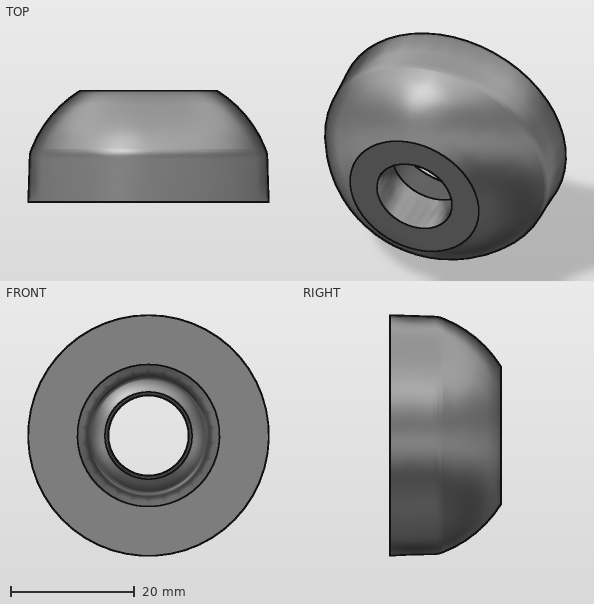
import cadquery as cq
import math

length = 18.0
face_radius = 19.5
back_radius = 11.1

skirt_length = 7.02
skirt_end_radius = 19.25
blend_end = 8.58
blend_end_radius = 18.95
blend_radius = 3.9
dome_radius = 19.5

mouth_radius = 11.5
wall_end_radius = 9.75
wall_depth = 9.8
floor_fillet = 0.55

floor_slope = math.radians(20)
bore_floor_radius = 7.05
bore_back_radius = 6.47


def arc_middle(start, end, radius):
    """Middle of the arc from start to end that bulges away from the axis and the open face."""
    chord_x = end[0] - start[0]
    chord_y = end[1] - start[1]
    chord = math.hypot(chord_x, chord_y)
    rise = radius - math.sqrt(radius**2 - (chord / 2) ** 2)
    middle_x = (start[0] + end[0]) / 2 + rise * chord_y / chord
    middle_y = (start[1] + end[1]) / 2 - rise * chord_x / chord
    return middle_x, middle_y


skirt_end = (skirt_end_radius, skirt_length)
dome_start = (blend_end_radius, blend_end)
dome_end = (back_radius, length)

wall_taper = math.atan((mouth_radius - wall_end_radius) / wall_depth)
wall_end = (wall_end_radius, wall_depth)
floor_edge = (
    wall_end_radius - floor_fillet * (math.cos(wall_taper) + math.sin(floor_slope)),
    wall_depth + floor_fillet * (math.cos(floor_slope) - math.sin(wall_taper)),
)
floor_rise = (floor_edge[0] - bore_floor_radius) * math.tan(floor_slope)
bore_start = (bore_floor_radius, floor_edge[1] - floor_rise)

section_plane = cq.Plane(origin=(0, 0, 0), xDir=(0, 0, 1), normal=(-1, 0, 0))
profile = (
    cq.Workplane(section_plane)
    .moveTo(mouth_radius, 0)
    .lineTo(face_radius, 0)
    .lineTo(*skirt_end)
    .threePointArc(arc_middle(skirt_end, dome_start, blend_radius), dome_start)
    .threePointArc(arc_middle(dome_start, dome_end, dome_radius), dome_end)
    .lineTo(bore_back_radius, length)
    .lineTo(*bore_start)
    .lineTo(*floor_edge)
    .threePointArc(arc_middle(wall_end, floor_edge, floor_fillet), wall_end)
    .close()
)
result = profile.revolve(360, (0, 0, 0), (0, 1, 0))